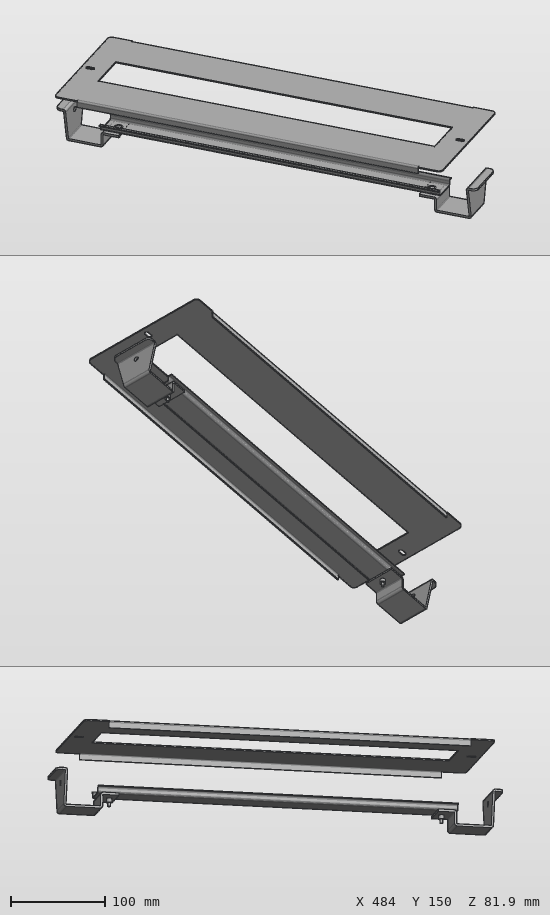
import cadquery as cq

overall_length = 484.0
overall_height = 81.9

cover_length = 445.0
cover_width = 150.0
cover_thickness = 1.5
cover_corner_radius = 5.0
lip_length = 392.0
lip_height = 8.0
lip_inner_radius = 0.5
window_length = 387.0
window_width = 48.0
slot_length = 9.5
slot_width = 4.5
slot_spacing = 425.5

rail_length = 390.0
rail_width = 35.0
rail_height = 7.5
rail_thickness = 1.0
rail_channel_width = 27.0
rail_inner_radius = 0.8

bracket_thickness = 2.5
bracket_inner_radius = 0.5
bracket_height = 40.5
bracket_base_length = 42.3
bracket_base_width = 35.0
tab_width = 50.6
tab_length = 11.7
tab_corner_radius = 6.0
foot_height = 17.5
foot_length = 20.0
wall_hole_diameter = 5.4
wall_hole_depth_below_tab = 10.9

rivet_spacing = 360.0
rivet_diameter = 6.0
rivet_tail_length = 4.3
rivet_head_diameter = 9.0
rivet_head_height = 1.8
mandrel_diameter = 3.0
mandrel_tail_length = 8.5

bracket_outer_radius = bracket_inner_radius + bracket_thickness
bracket_end = -overall_length / 2
wall_right_face = bracket_end + tab_length
wall_left_face = wall_right_face - bracket_thickness
leg_right_face = wall_left_face + bracket_base_length
foot_end = leg_right_face - bracket_thickness + foot_length
foot_underside = foot_height - bracket_thickness
rail_bottom = foot_height
web_top = rail_bottom + rail_thickness
lip_outer_radius = lip_inner_radius + cover_thickness
cover_underside = overall_height - cover_thickness


def folded_sheet(centre_line, thickness, inner_radius, width):
    """Sheet swept along centre-line points that set off level; bends rounded."""
    wire = cq.Wire.makePolygon(centre_line)
    bends = wire.Vertices()[1:-1]
    path = wire.fillet(inner_radius + thickness / 2, bends)
    start = centre_line[0]
    section = cq.Plane(start, xDir=(0, 0, 1), normal=centre_line[1] - start)
    return cq.Workplane(section).rect(thickness, width).sweep(path)


def make_cover():
    """Rounded plate with a window, two slots and a lip folded down along each long edge."""
    sheet = cq.Workplane("XY", origin=(0, 0, cover_underside))
    plate = (
        sheet.rect(cover_length, cover_width)
        .extrude(cover_thickness)
        .edges("|Z")
        .fillet(cover_corner_radius)
    )
    bend_strips = (
        sheet.pushPoints([(0, side * (cover_width - lip_outer_radius) / 2) for side in (-1, 1)])
        .rect(lip_length, lip_outer_radius)
        .extrude(cover_thickness)
    )
    middle_z = overall_height - cover_thickness / 2
    middle_y = (cover_width - cover_thickness) / 2
    lip = folded_sheet(
        [
            cq.Vector(0, cover_width / 2 - 2 * lip_outer_radius, middle_z),
            cq.Vector(0, middle_y, middle_z),
            cq.Vector(0, middle_y, overall_height - lip_height),
        ],
        cover_thickness,
        lip_inner_radius,
        lip_length,
    )
    window = sheet.rect(window_length, window_width).extrude(cover_thickness)
    slots = (
        sheet.pushPoints([(side * slot_spacing / 2, 0) for side in (-1, 1)])
        .slot2D(slot_length, slot_width)
        .extrude(cover_thickness)
    )
    return plate.cut(bend_strips).union(lip).union(lip.mirror("XZ")).cut(window).cut(slots)


def make_rivet_holes():
    """Cylinders through the rail web and the bracket feet, one at each rivet."""
    return (
        cq.Workplane("XY", origin=(0, 0, foot_underside))
        .pushPoints([(side * rivet_spacing / 2, 0) for side in (-1, 1)])
        .circle(rivet_diameter / 2)
        .extrude(web_top - foot_underside)
    )


def make_rail():
    """Top-hat section running along X, web down and flanges up."""
    flange_z = rail_bottom + rail_height - rail_thickness / 2
    web_z = rail_bottom + rail_thickness / 2
    wall_y = (rail_channel_width - rail_thickness) / 2
    half_section = [(rail_width / 2, flange_z), (wall_y, flange_z), (wall_y, web_z)]
    other_half = [(-y, z) for y, z in reversed(half_section)]
    centre_line = [cq.Vector(0, y, z) for y, z in half_section + other_half]
    return folded_sheet(centre_line, rail_thickness, rail_inner_radius, rail_length)


def make_bracket():
    """Left bracket: a wide tab, a tapering wall, a base, a short leg and a foot under the rail."""
    half_thickness = bracket_thickness / 2
    tab_z = bracket_height - half_thickness
    wall_x = wall_left_face + half_thickness
    leg_x = leg_right_face - half_thickness
    foot_z = foot_height - half_thickness
    centre_line = [
        cq.Vector(bracket_end, 0, tab_z),
        cq.Vector(wall_x, 0, tab_z),
        cq.Vector(wall_x, 0, half_thickness),
        cq.Vector(leg_x, 0, half_thickness),
        cq.Vector(leg_x, 0, foot_z),
        cq.Vector(foot_end, 0, foot_z),
    ]
    strip = folded_sheet(centre_line, bracket_thickness, bracket_inner_radius, tab_width)

    taper_top = bracket_height - bracket_outer_radius
    taper_bottom = bracket_outer_radius
    half_tab = tab_width / 2
    half_base = bracket_base_width / 2
    wall_outline = (
        cq.Workplane("YZ", origin=(bracket_end, 0, 0))
        .polyline(
            [
                (-half_tab, bracket_height),
                (-half_tab, taper_top),
                (-half_base, taper_bottom),
                (-half_base, 0),
                (half_base, 0),
                (half_base, taper_bottom),
                (half_tab, taper_top),
                (half_tab, bracket_height),
            ]
        )
        .close()
        .extrude(tab_length)
    )
    base_outline = (
        cq.Workplane("XY")
        .center((wall_right_face + foot_end) / 2, 0)
        .rect(foot_end - wall_right_face, bracket_base_width)
        .extrude(bracket_height)
    )
    wall_hole = (
        cq.Workplane("YZ", origin=(wall_left_face, 0, bracket_height - wall_hole_depth_below_tab))
        .circle(wall_hole_diameter / 2)
        .extrude(bracket_thickness)
    )
    return (
        strip.intersect(wall_outline.union(base_outline))
        .edges("|Z and <X")
        .fillet(tab_corner_radius)
        .cut(wall_hole)
    )


def make_rivet_sleeve(x):
    """Sleeve through rail and foot, with a conical head on the web and a tail below the foot."""
    tail_end = foot_underside - rivet_tail_length
    return (
        cq.Workplane("XZ", origin=(x, 0, 0))
        .polyline(
            [
                (mandrel_diameter / 2, tail_end),
                (rivet_diameter / 2, tail_end),
                (rivet_diameter / 2, web_top),
                (rivet_head_diameter / 2, web_top),
                (mandrel_diameter / 2, web_top + rivet_head_height),
            ]
        )
        .close()
        .revolve(360, (0, 0, 0), (0, 1, 0))
    )


def make_mandrel(x):
    """Plain pin filling the sleeve bore, flush with the head and standing out below the tail."""
    bottom = foot_underside - mandrel_tail_length
    return (
        cq.Workplane("XY", origin=(x, 0, bottom))
        .circle(mandrel_diameter / 2)
        .extrude(web_top + rivet_head_height - bottom)
    )


rivet_holes = make_rivet_holes()
cover = make_cover()
rail = make_rail().cut(rivet_holes)
left_bracket = make_bracket().cut(rivet_holes)
right_bracket = left_bracket.mirror("YZ")
bodies = [cover.val(), rail.val(), left_bracket.val(), right_bracket.val()]
for side in (-1, 1):
    rivet_x = side * rivet_spacing / 2
    bodies.append(make_rivet_sleeve(rivet_x).val())
    bodies.append(make_mandrel(rivet_x).val())

result = cq.Compound.makeCompound(bodies)